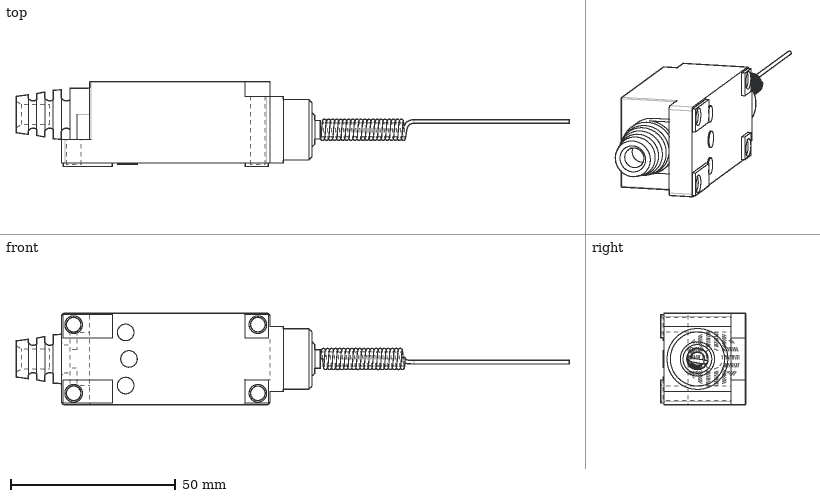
import cadquery as cq
import math


half_height = 14.0
back_y = 13.0
front_y = -12.0
foot_left = 13.8
block_left = 22.4
block_right = 77.2
foot_back_y = -4.7
corner_fillet = 1.0
back_fillet = 0.3

notch_left = 69.6
notch_front_y = 8.4
notch_floor_z = 6.4

pad_front_y = -13.0
pad_inset = 0.5
pad_inner_z = 6.4
left_pad_end = 29.3
right_pad_start = 69.6
hole_z = 10.5
hole_spacing = 56.0
left_hole_x = 17.5
hole_radius = 2.2
countersink_radius = 2.7
countersink_depth = 0.7

button_radius = 2.5
button_height = 0.3
button_places = [(33.3, 8.0), (34.3, 0), (33.3, -8.0)]

boot_y = 2.9
collar_left = 16.3
collar_radius = 8.0
saddle_left = 18.5
neck_radius = 4.2
neck_left_radius = 5.0
neck_right_radius = 4.5
rings = [(0, 3.7, 5.5, 6.0), (6.2, 8.7, 6.4, 6.9), (11.3, 13.8, 7.4, 7.5)]
bore_radius = 3.0
bore_mouth_radius = 4.0
bore_mouth_depth = 1.7
bore_depth = 10.1

head_half_height = 10.0
head_right = 81.2
head_y = (front_y + notch_front_y) / 2
nut_radius = 9.3
nut_right = 90.0
nut_chamfer = 1.0
cone_base_radius = 5.2
cone_tip_radius = 4.4
cone_right = 90.8
stem_radius = 2.9
stem_right = 92.5

wire_radius = 0.59
coil_radius = 2.7
coil_turns = 20
coil_clearance = 0.03
coil_left = stem_right + wire_radius + coil_clearance
coil_right = 117.7
coil_pitch = (coil_right - coil_left) / coil_turns
rod_left = 121.0
bend_start_direction = (0.3, 1, -0.3)
rod_right = 168.2
rod_angle = -21.0


def box(x_range, y_range, z_range):
    """Box between the given pairs of X, Y and Z limits."""
    size = [b - a for a, b in (x_range, y_range, z_range)]
    return cq.Workplane().box(*size, centered=False).translate((x_range[0], y_range[0], z_range[0]))


def mirrored_in_z(shape):
    return shape.union(shape.mirror("XY"))


def revolve_about_x(profile, axis_y):
    """Turn an (x, radius) outline about the line along X at the given Y."""
    return profile.close().revolve(360, (0, 0, 0), (1, 0, 0)).translate((0, axis_y, 0))


def make_block():
    """Block with a foot at its left end, rounded corners and two notches at the back of its right end."""
    outline = [
        (foot_left, front_y),
        (block_right, front_y),
        (block_right, back_y),
        (block_left, back_y),
        (block_left, foot_back_y),
        (foot_left, foot_back_y),
    ]
    block = cq.Workplane().polyline(outline).close().extrude(half_height, both=True)
    block = block.faces("<X or >X").edges("|Y").fillet(corner_fillet)
    notch = box((notch_left, block_right), (notch_front_y, back_y), (notch_floor_z, half_height))
    block = block.cut(mirrored_in_z(notch))
    step_corners = block.faces(cq.selectors.NearestToPointSelector((block_left, 0, 0))).edges("|Y")
    block = step_corners.fillet(back_fillet)
    return block.faces(">Y").edges().fillet(back_fillet)


def make_pads():
    z_range = (pad_inner_z, half_height - pad_inset)
    left = box((foot_left + pad_inset, left_pad_end), (pad_front_y, front_y), z_range)
    right = box((right_pad_start, block_right - pad_inset), (pad_front_y, front_y), z_range)
    return mirrored_in_z(left.union(right))


def make_mounting_holes():
    """Through holes along Y, countersunk at the pads."""
    profile = [
        (0, pad_front_y),
        (countersink_radius, pad_front_y),
        (hole_radius, pad_front_y + countersink_depth),
        (hole_radius, back_y),
        (0, back_y),
    ]
    hole = cq.Workplane().polyline(profile).close().revolve(360, (0, 0, 0), (0, 1, 0))
    left = hole.translate((left_hole_x, 0, hole_z))
    right = left.translate((hole_spacing, 0, 0))
    return mirrored_in_z(left.union(right))


def make_buttons():
    face = cq.Workplane("XZ", origin=(0, front_y, 0))
    return face.pushPoints(button_places).circle(button_radius).extrude(button_height)


def make_boot():
    """Ringed boot with hollow necks between its rings, ending in a collar against the block."""
    profile = cq.Workplane().moveTo(0, 0)
    next_lefts = [ring[0] for ring in rings[1:]] + [collar_left]
    for (left, right, left_radius, right_radius), next_left in zip(rings, next_lefts):
        profile = profile.lineTo(left, left_radius).lineTo(right, right_radius).lineTo(right, neck_left_radius)
        profile = profile.threePointArc(((right + next_left) / 2, neck_radius), (next_left, neck_right_radius))
    profile = profile.lineTo(collar_left, collar_radius).lineTo(block_left, collar_radius).lineTo(block_left, 0)
    boot = revolve_about_x(profile, boot_y)
    saddle = box((saddle_left, block_left), (foot_back_y, boot_y), (-collar_radius, collar_radius))
    return boot.union(saddle)


def make_bore():
    profile = cq.Workplane().polyline([
        (0, 0),
        (0, bore_mouth_radius),
        (bore_mouth_depth, bore_radius),
        (bore_depth, bore_radius),
        (bore_depth, 0),
    ])
    return revolve_about_x(profile, boot_y)


def make_head():
    """Plate against the block, with a round nut, a cone and a stem along X."""
    plate = box((block_right, head_right), (front_y, notch_front_y), (-head_half_height, head_half_height))
    nut = cq.Workplane("YZ", origin=(head_right, head_y, 0)).circle(nut_radius).extrude(nut_right - head_right)
    nut = nut.faces(">X").edges().chamfer(nut_chamfer)
    stem = cq.Workplane().polyline([
        (nut_right, 0),
        (nut_right, cone_base_radius),
        (cone_right, cone_tip_radius),
        (cone_right, stem_radius),
        (stem_right, stem_radius),
        (stem_right, 0),
    ])
    return plate.union(nut).union(revolve_about_x(stem, head_y))


def make_housing():
    housing = make_block().union(make_pads()).cut(make_mounting_holes())
    housing = housing.union(make_buttons()).union(make_boot()).cut(make_bore())
    return housing.union(make_head())


def wire_section(centre, direction):
    """Round section of the wire, square to the given direction."""
    return cq.Workplane(cq.Plane(centre, normal=direction)).circle(wire_radius)


def make_spring_wire():
    """Close coil that starts and ends at -Y, with a sharp corner into a bend that meets a rod along X."""
    helix = cq.Wire.makeHelix(coil_pitch, coil_pitch * coil_turns, coil_radius, lefthand=True)
    helix = helix.rotate(cq.Vector(0, 0, 0), cq.Vector(0, 1, 0), 90)
    helix = helix.rotate(cq.Vector(0, 0, 0), cq.Vector(1, 0, 0), -90)
    helix = helix.translate(cq.Vector(coil_left, head_y, 0))
    coil_end = helix.endPoint()
    rod_direction = math.radians(rod_angle)
    rod_start = cq.Vector(
        rod_left,
        head_y + coil_radius * math.cos(rod_direction),
        coil_radius * math.sin(rod_direction),
    )
    along_x = cq.Vector(1, 0, 0)
    inward = cq.Vector(bend_start_direction)
    bend_path = cq.Edge.makeSpline([coil_end, rod_start], tangents=[inward, along_x])

    coil = wire_section(helix.startPoint(), helix.tangentAt(0)).sweep(helix, isFrenet=True)
    corner = cq.Workplane(coil_end).sphere(wire_radius)
    bend = wire_section(coil_end, inward).sweep(cq.Workplane(bend_path))
    rod = wire_section(rod_start, along_x).extrude(rod_right - rod_left)
    return coil.union(corner).union(bend).union(rod)


housing = make_housing()
spring_wire = make_spring_wire()
result = cq.Compound.makeCompound([housing.val(), spring_wire.val()])